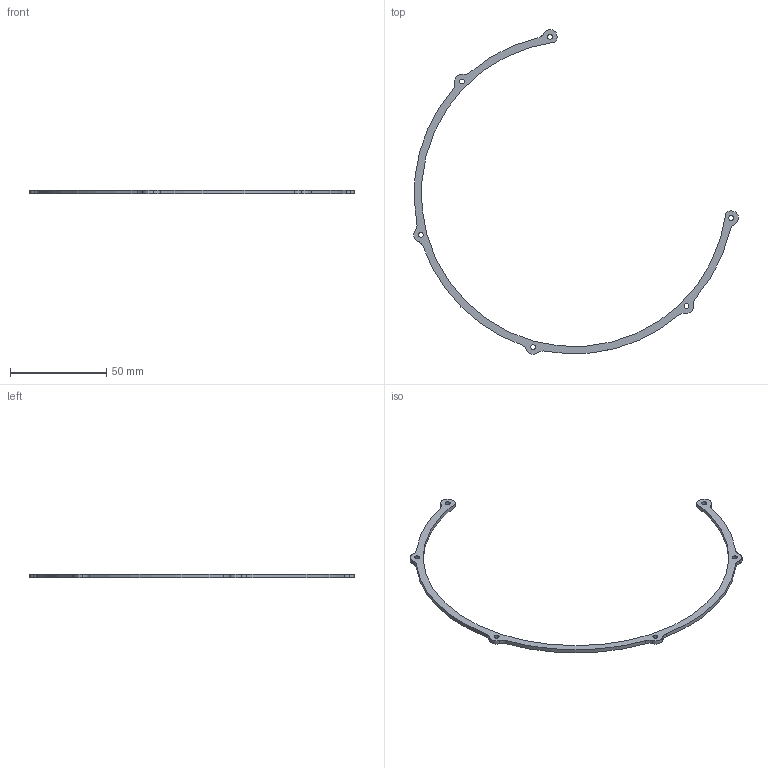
import cadquery as cq
import math

thickness = 2.0
inner_radius = 79.25
outer_radius = 83.0

hole_circle_radius = 82.3
tab_radius = 3.75
hole_diameter = 2.5
blend_radius = 4.5

symmetry_angle = -135.0
middle_tab_offsets = (-90.0, -30.0, 30.0, 90.0)
end_tab_offset = 126.2

end_tab_offsets = (-end_tab_offset, end_tab_offset)
tab_angles = [symmetry_angle + offset for offset in middle_tab_offsets + end_tab_offsets]


def polar(radius, angle):
    """Point at the given radius and angle (degrees) from the ring centre."""
    angle_rad = math.radians(angle)
    return (radius * math.cos(angle_rad), radius * math.sin(angle_rad))


tab_centres = [polar(hole_circle_radius, angle) for angle in tab_angles]


def make_arc_band():
    """Open ring running from one end tab centre to the other."""
    start = symmetry_angle - end_tab_offset
    end = symmetry_angle + end_tab_offset
    return (
        cq.Workplane("XY")
        .moveTo(*polar(outer_radius, start))
        .threePointArc(polar(outer_radius, symmetry_angle), polar(outer_radius, end))
        .lineTo(*polar(inner_radius, end))
        .threePointArc(polar(inner_radius, symmetry_angle), polar(inner_radius, start))
        .close()
        .extrude(thickness)
    )


def add_tabs(body):
    """Round tabs, trimmed flush with the inside of the ring."""
    for x, y in tab_centres:
        body = body.union(cq.Workplane("XY").center(x, y).circle(tab_radius).extrude(thickness))
    bore = cq.Workplane("XY").circle(inner_radius).extrude(thickness)
    return body.cut(bore)


def blend_points():
    """Points where the tab circles cross the outer edge of the ring."""
    cosine = (hole_circle_radius**2 + outer_radius**2 - tab_radius**2) / (
        2 * hole_circle_radius * outer_radius
    )
    half_span = math.degrees(math.acos(cosine))
    points = []
    for angle in tab_angles:
        for side in (-half_span, half_span):
            if abs(angle + side - symmetry_angle) < end_tab_offset:
                points.append(polar(outer_radius, angle + side))
    return points


def blend_corners(body):
    """Round the inside corners between the tabs and the ring."""
    reach = 0.05
    selector = None
    for x, y in blend_points():
        box = cq.selectors.BoxSelector(
            (x - reach, y - reach, 0), (x + reach, y + reach, thickness)
        )
        selector = box if selector is None else selector + box
    return body.edges("|Z").edges(selector).fillet(blend_radius)


def drill_holes(body):
    """Screw hole through every tab."""
    holes = cq.Workplane("XY").pushPoints(tab_centres).circle(hole_diameter / 2).extrude(thickness)
    return body.cut(holes)


ring = make_arc_band()
ring = add_tabs(ring)
ring = blend_corners(ring)
result = drill_holes(ring).solids()